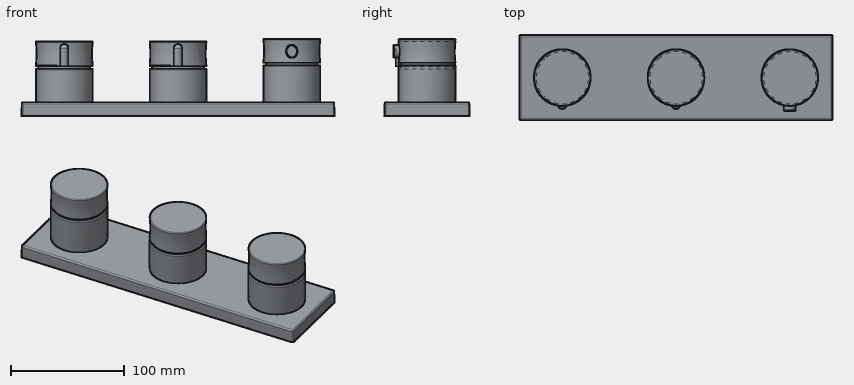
import cadquery as cq
import math

PLATE_LENGTH = 275.0
PLATE_WIDTH = 75.0
PLATE_HEIGHT = 12.5
PLATE_EDGE_ROUND = 1.5
PLATE_SIDE_INSET = 0.3
PLATE_DRAFT = math.degrees(math.atan(PLATE_SIDE_INSET / PLATE_HEIGHT))

COLUMN_SPACING = 99.8
LEVER_CENTERS = [-COLUMN_SPACING, 0.0]
BUTTON_CENTER = COLUMN_SPACING
COLUMN_RADIUS = 50.0 / 2
NECK_RADIUS = 46.0 / 2
NECK_HEIGHT = 2.0

WAIST_RADIUS = 49.0 / 2
KNOB_FACE_RADIUS = 48.5 / 2
EDGE_ROUND = COLUMN_RADIUS - KNOB_FACE_RADIUS
LEVER_KNOB_BOTTOM = 43.7
LEVER_KNOB_TOP = 65.7
BUTTON_KNOB_BOTTOM = 46.8
BUTTON_KNOB_TOP = 68.0

POINTER_RADIUS = 7.5 / 2
POINTER_TOP = 63.5
POINTER_Y = -24.0

BUTTON_WIDTH = 10.2
BUTTON_HEIGHT = 11.5
BUTTON_CENTER_Z = 57.0
BUTTON_FRONT_Y = -29.5
BUTTON_ROOT_Y = -22.0
BUTTON_EDGE_CHAMFER = 0.5


def cylinder(x, y, bottom, top, radius):
    """Upright cylinder between two heights."""
    return cq.Workplane("XY", origin=(x, y, bottom)).circle(radius).extrude(top - bottom)


def make_plate():
    """Slightly drafted rectangular plate with rounded upper edges and upright corners."""
    plate = cq.Workplane("XY").rect(PLATE_LENGTH, PLATE_WIDTH).extrude(PLATE_HEIGHT, taper=PLATE_DRAFT)
    return plate.edges("not <Z").fillet(PLATE_EDGE_ROUND)


def make_column(x, knob_bottom):
    """Sleeve and narrower neck that carry a knob, standing on the plate."""
    sleeve_top = knob_bottom - NECK_HEIGHT
    sleeve = cylinder(x, 0, PLATE_HEIGHT, sleeve_top, COLUMN_RADIUS)
    sleeve = sleeve.faces(">Z").edges().fillet(EDGE_ROUND)
    return sleeve.union(cylinder(x, 0, sleeve_top, knob_bottom, NECK_RADIUS))


def make_knob(x, bottom, top):
    """Waisted round knob, revolved about its upright axis."""
    lower_rim_z = bottom + EDGE_ROUND
    upper_rim_z = top - EDGE_ROUND
    profile = (
        cq.Workplane("XZ", origin=(x, 0, 0))
        .moveTo(0, bottom)
        .lineTo(KNOB_FACE_RADIUS, bottom)
        .radiusArc((COLUMN_RADIUS, lower_rim_z), -EDGE_ROUND)
        .threePointArc((WAIST_RADIUS, (lower_rim_z + upper_rim_z) / 2), (COLUMN_RADIUS, upper_rim_z))
        .radiusArc((KNOB_FACE_RADIUS, top), -EDGE_ROUND)
        .lineTo(0, top)
        .close()
    )
    return profile.revolve(360, (0, 0, 0), (0, 1, 0))


def make_pointer(x):
    """Upright round bar with a hemispherical top."""
    dome_center = POINTER_TOP - POINTER_RADIUS
    bar = cylinder(x, POINTER_Y, LEVER_KNOB_BOTTOM, dome_center, POINTER_RADIUS)
    dome = cq.Workplane("XY", origin=(x, POINTER_Y, dome_center)).sphere(POINTER_RADIUS)
    return bar.union(dome)


def make_button():
    """Oval button with a chamfered front edge, rooted inside the knob."""
    button = (
        cq.Workplane("XZ", origin=(BUTTON_CENTER, BUTTON_ROOT_Y, BUTTON_CENTER_Z))
        .ellipse(BUTTON_WIDTH / 2, BUTTON_HEIGHT / 2)
        .extrude(BUTTON_ROOT_Y - BUTTON_FRONT_Y)
    )
    return button.faces("<Y").edges().chamfer(BUTTON_EDGE_CHAMFER)


def make_housing():
    """Plate with all three columns and the right-hand button knob."""
    housing = make_plate()
    for x in LEVER_CENTERS:
        housing = housing.union(make_column(x, LEVER_KNOB_BOTTOM))
    housing = housing.union(make_column(BUTTON_CENTER, BUTTON_KNOB_BOTTOM))
    button_knob = make_knob(BUTTON_CENTER, BUTTON_KNOB_BOTTOM, BUTTON_KNOB_TOP)
    return housing.union(button_knob.union(make_button()))


def make_lever_knob(x):
    """Knob and its pointer, resting on the neck of a column."""
    return make_knob(x, LEVER_KNOB_BOTTOM, LEVER_KNOB_TOP).union(make_pointer(x))


housing = make_housing().solids().val()
lever_knobs = [make_lever_knob(x).solids().val() for x in LEVER_CENTERS]

result = cq.Compound.makeCompound([housing, *lever_knobs])